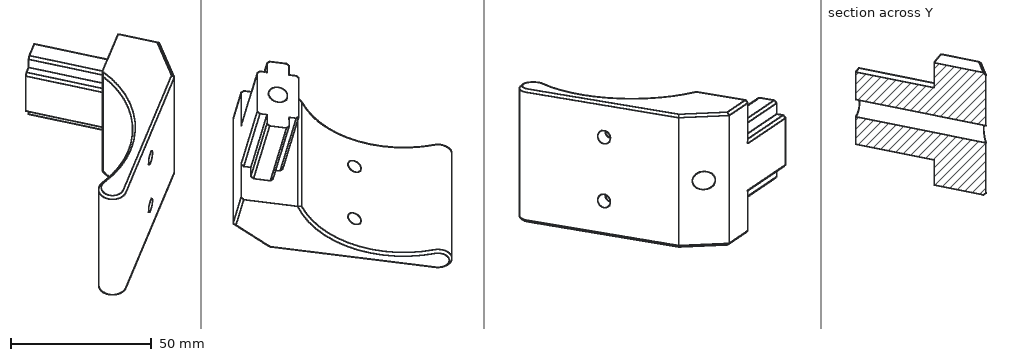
import cadquery as cq
import math

total_x = 55.0
total_y = 80.0
height = 50.0
edge_chamfer = 1.0

rail_length = 30.0
rail_width = 15.0
rail_height = 29.6
rib_width = 8.0
core_height = 19.5
rail_bore = 6.8

slant_start_x = 45.0
slant_end_y = -15.0
grip_radius = 38.4
grip_wall = 5.1
tip_radius = 5.0
corner_chamfer = 1.0

mount_diameter = 5.0
mount_spacing = 24.0
mount_y = -44.6

tip_x = total_x - tip_radius
tip_y = -total_y + tip_radius
grip_x = total_x - grip_wall - grip_radius
center_distance = grip_radius + tip_radius
grip_y = tip_y + math.sqrt(center_distance**2 - (tip_x - grip_x)**2)
rail_y = -rail_width / 2


def grip_point(angle):
    """Point of the grip arc at an angle from the +X direction."""
    return (
        grip_x + grip_radius * math.cos(angle),
        grip_y + grip_radius * math.sin(angle),
    )


def make_body():
    start_angle = math.acos((rail_length - grip_x) / grip_radius)
    tangent_angle = math.atan2(tip_y - grip_y, tip_x - grip_x)
    grip_start = grip_point(start_angle)
    grip_end = grip_point(tangent_angle)
    body = (
        cq.Workplane("XY", origin=(0, 0, -height / 2))
        .moveTo(rail_length, 0)
        .lineTo(slant_start_x, 0)
        .lineTo(total_x, slant_end_y)
        .lineTo(total_x, tip_y)
        .threePointArc((tip_x, -total_y), grip_end)
        .threePointArc(grip_point((start_angle + tangent_angle) / 2), grip_start)
        .close()
        .extrude(height)
    )
    rim_edges = [
        edge
        for edge in body.faces("|Z").edges().vals()
        if edge.Center().x > rail_length + edge_chamfer
    ]
    body = body.newObject(rim_edges).chamfer(edge_chamfer)
    corner = cq.selectors.NearestToPointSelector((*grip_start, 0))
    return body.edges("|Z").edges(corner).chamfer(corner_chamfer)


def make_rail():
    def bar(width, bar_height):
        return (
            cq.Workplane("YZ")
            .center(rail_y, 0)
            .rect(width, bar_height)
            .extrude(rail_length)
            .edges("|X")
            .chamfer(edge_chamfer)
        )

    return bar(rail_width, core_height).union(bar(rib_width, rail_height))


def cut_cylinder(diameter, y, z):
    return cq.Workplane("YZ").center(y, z).circle(diameter / 2).extrude(total_x)


result = make_body().union(make_rail())
result = result.cut(cut_cylinder(rail_bore, rail_y, 0))
for side in (-1, 1):
    result = result.cut(cut_cylinder(mount_diameter, mount_y, side * mount_spacing / 2))